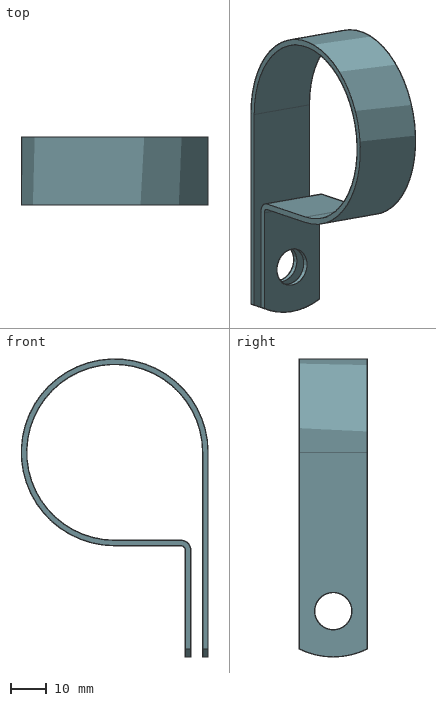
import cadquery as cq
import math

height = 83.3
loop_diameter = 52.2
strap_width = 19.1
thickness = 1.6
leg_gap = 3.25
bend_outer_radius = 2.8
hole_diameter = 10.3
hole_height = 12.8
tip_rise = 2.25

outer_radius = loop_diameter / 2
inner_radius = outer_radius - thickness
bottom_z = outer_radius - height
inner_leg_outside = inner_radius - leg_gap
inner_leg_inside = inner_leg_outside - thickness
bend_inner_radius = bend_outer_radius - thickness
bend_x = inner_leg_outside - bend_outer_radius
bend_z = -inner_radius - bend_outer_radius
diagonal = math.sqrt(0.5)


def make_strap():
    """Bent strip: straight leg, three-quarter loop, flat shelf and short leg."""
    profile = (
        cq.Workplane("XZ")
        .moveTo(outer_radius, bottom_z)
        .lineTo(outer_radius, 0)
        .threePointArc((-outer_radius * diagonal, outer_radius * diagonal), (0, -outer_radius))
        .lineTo(bend_x, -outer_radius)
        .threePointArc(
            (bend_x + bend_inner_radius * diagonal, bend_z + bend_inner_radius * diagonal),
            (inner_leg_inside, bend_z),
        )
        .lineTo(inner_leg_inside, bottom_z)
        .lineTo(inner_leg_outside, bottom_z)
        .lineTo(inner_leg_outside, bend_z)
        .threePointArc(
            (bend_x + bend_outer_radius * diagonal, bend_z + bend_outer_radius * diagonal),
            (bend_x, -inner_radius),
        )
        .lineTo(0, -inner_radius)
        .threePointArc((-inner_radius * diagonal, inner_radius * diagonal), (inner_radius, 0))
        .lineTo(inner_radius, bottom_z)
        .close()
    )
    return profile.extrude(strap_width / 2, both=True)


def make_side_outline():
    """Strap outline across its width, with the rounded tip at the bottom."""
    half_width = strap_width / 2
    return (
        cq.Workplane("YZ")
        .moveTo(-half_width, outer_radius)
        .lineTo(-half_width, bottom_z + tip_rise)
        .threePointArc((0, bottom_z), (half_width, bottom_z + tip_rise))
        .lineTo(half_width, outer_radius)
        .close()
        .extrude(outer_radius, both=True)
    )


def make_bolt_hole():
    """Cylinder that passes through both legs."""
    return (
        cq.Workplane("YZ")
        .center(0, bottom_z + hole_height)
        .circle(hole_diameter / 2)
        .extrude(outer_radius)
    )


result = make_strap().intersect(make_side_outline()).cut(make_bolt_hole())